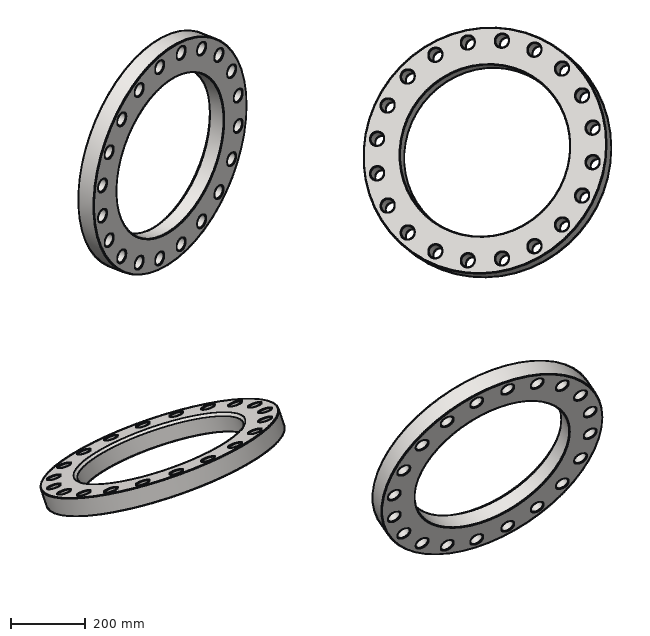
import cadquery as cq

outer_diameter = 670.0
bore_diameter = 467.0
thickness = 54.0
rim_chamfer = 2.0
bore_front_chamfer = 8.0
bore_back_chamfer = 2.0

bolt_circle_diameter = 600.0
hole_diameter = 36.0
hole_count = 20
hole_chamfer = 2.0
hole_pitch_angle = 360.0 / hole_count


def make_ring():
    """Disc with both rim edges chamfered, bored through with a larger bore chamfer at the -X end."""
    disc = cq.Workplane("YZ").circle(outer_diameter / 2).extrude(thickness)
    disc = disc.edges().chamfer(rim_chamfer)
    ring = disc.cut(cq.Workplane("YZ").circle(bore_diameter / 2).extrude(thickness))
    bore_edge = cq.selectors.RadiusNthSelector(0)
    ring = ring.faces("<X").edges(bore_edge).chamfer(bore_front_chamfer)
    return ring.faces(">X").edges(bore_edge).chamfer(bore_back_chamfer)


def make_bolt_hole():
    """Solid of one bolt hole, with a conical lead-in at each end."""
    radius = hole_diameter / 2
    mouth_radius = radius + hole_chamfer
    return (
        cq.Workplane("XY")
        .polyline([
            (0, 0),
            (0, mouth_radius),
            (hole_chamfer, radius),
            (thickness - hole_chamfer, radius),
            (thickness, mouth_radius),
            (thickness, 0),
        ])
        .close()
        .revolve(360, (0, 0, 0), (1, 0, 0))
        .translate((0, bolt_circle_diameter / 2, 0))
    )


result = make_ring()
bolt_hole = make_bolt_hole()
for index in range(hole_count):
    angle = (index + 0.5) * hole_pitch_angle
    result = result.cut(bolt_hole.rotate((0, 0, 0), (1, 0, 0), angle))